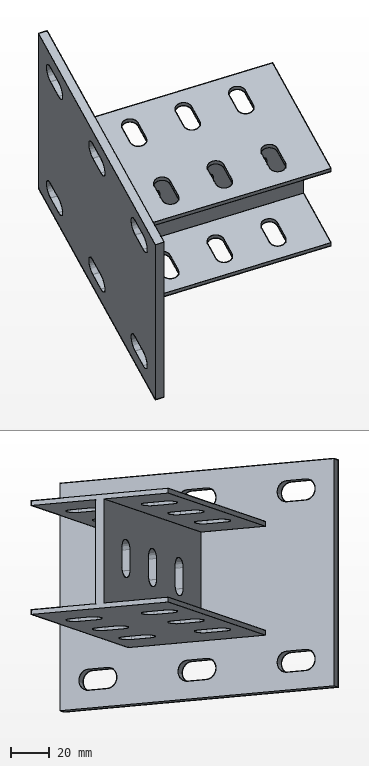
import cadquery as cq

plate_width = 160.0
plate_height = 120.0
plate_thickness = 5.0
plate_slot_columns = 3
plate_slot_rows = 2
plate_slot_length = 22.0
plate_slot_width = 11.0
plate_slot_pitch_x = 58.0
plate_slot_pitch_z = 90.0

overall_depth = 115.0
beam_width = 80.0
beam_height = 60.0
flange_thickness = 2.5
web_thickness = 5.0
beam_length = overall_depth - plate_thickness

beam_slot_length = 20.0
beam_slot_width = 9.0
beam_slot_rows = 3
beam_slot_pitch = 30.0
beam_slot_end_distance = 25.0
flange_slot_pitch_x = 44.0
beam_slot_row_positions = [
    overall_depth - beam_slot_end_distance - row * beam_slot_pitch for row in range(beam_slot_rows)
]


def make_plate():
    """Flat plate with two rows of three horizontal slots."""
    plate = cq.Workplane("XY").box(
        plate_width, plate_thickness, plate_height, centered=(True, False, True)
    )
    slots = (
        cq.Workplane("XZ")
        .rarray(plate_slot_pitch_x, plate_slot_pitch_z, plate_slot_columns, plate_slot_rows)
        .slot2D(plate_slot_length, plate_slot_width)
        .extrude(plate_thickness, both=True)
    )
    return plate.cut(slots)


def make_beam():
    """Two horizontal flanges joined by a vertical web on the centre plane."""
    web_section = cq.Workplane("XZ", origin=(0, plate_thickness, 0)).rect(web_thickness, beam_height)
    beam = web_section.extrude(-beam_length)
    for side in (-1, 1):
        flange_z = side * (beam_height - flange_thickness) / 2
        flange = (
            cq.Workplane("XZ", origin=(0, plate_thickness, flange_z))
            .rect(beam_width, flange_thickness)
            .extrude(-beam_length)
        )
        beam = beam.union(flange)
    return beam


def flange_slots():
    """Cutters through both flanges, lengthwise across the beam, either side of the web."""
    centres = [
        (side * flange_slot_pitch_x / 2, row_y) for side in (-1, 1) for row_y in beam_slot_row_positions
    ]
    return (
        cq.Workplane("XY")
        .pushPoints(centres)
        .slot2D(beam_slot_length, beam_slot_width)
        .extrude(beam_height, both=True)
    )


def web_slots():
    """Cutters through the web, upright and at mid-height."""
    return (
        cq.Workplane("YZ")
        .pushPoints([(row_y, 0) for row_y in beam_slot_row_positions])
        .slot2D(beam_slot_length, beam_slot_width, angle=90)
        .extrude(web_thickness, both=True)
    )


beam_with_slots = make_beam().cut(flange_slots()).cut(web_slots())
result = make_plate().union(beam_with_slots)